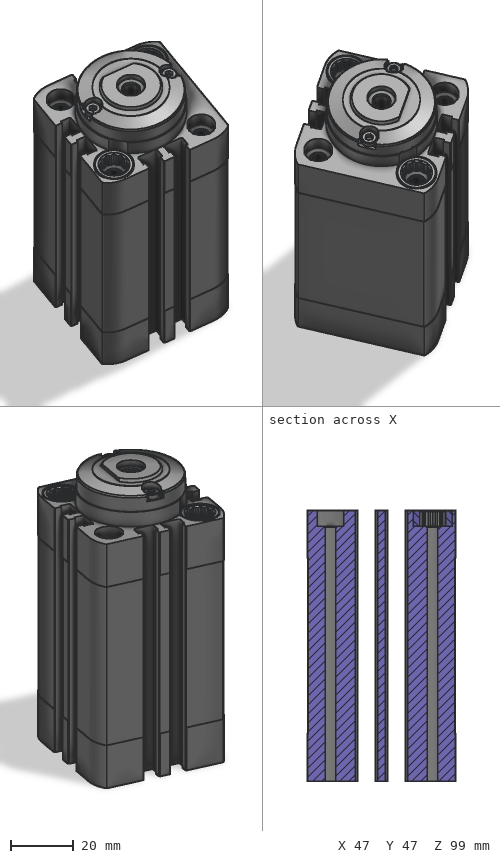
import cadquery as cq
import math

half_width = 47.0 / 2
housing_height = 86.1
end_length = 15.1
middle_setback = 0.1

corner_arc_height = 7.2
corner_arc_inset = 2.3
corner_chamfer = 0.4

slot_offset = 4.8
slot_mouth_width = 5.4
slot_inner_width = 6.9
slot_floor = 17.6
slot_lip = 2.5
slot_corner_radius = 0.5
slot_mouth_chamfer = 0.3
slot_side_angles = (90, 180, 270)

hole_offset = 16.2
through_diameter = 4.95
hole_rim_diameter = 5.7
recess_diameter = 9.0
recess_depth = 5.0
plain_corners = [(hole_offset, hole_offset), (-hole_offset, -hole_offset)]
sleeve_corners = [(-hole_offset, hole_offset), (hole_offset, -hole_offset)]

collar_diameter = 35.3
collar_top = 91.3
cap_diameter = 34.6
cap_side_top = 96.1
cap_edge_radius = 16.9
cap_edge_z = 96.7
cap_flat_radius = 12.3
cap_step = 0.2
cap_top = 98.0

rod_diameter = 20.0
rod_top = 99.0
rod_bevel = 0.6
rod_flat = 7.5
rod_recess_depth = 2.1
rod_thread_diameter = 6.0
rod_core_diameter = 5.1
rod_hole_depth = 14.85
drill_tip_angle = 118

sleeve_diameter = 12.8
sleeve_chamfer = 0.4
sleeve_bore = 8.6
sleeve_mouth = 10.0
sleeve_mouth_depth = 0.5
sleeve_socket_flats = 8.1

screw_offset = 14.2
screw_head_diameter = 4.95
screw_head_chamfer = 0.2
screw_seat = 94.4
screw_top = 96.2
screw_socket_flats = 2.3
screw_socket_depth = 1.5
screw_recess_diameter = 6.1
screw_places = [(0, screw_offset), (0, -screw_offset)]
notch_width = 5.9
notch_start = 16.2


def cylinder(diameter, bottom, top, places=((0, 0),)):
    """Upright cylinders, one at each place."""
    base = cq.Workplane("XY").workplane(offset=bottom)
    return base.pushPoints(places).circle(diameter / 2).extrude(top - bottom)


def countersink(top_diameter, bottom_diameter, depth, top, place=(0, 0)):
    """Cone that narrows downward from the height `top`."""
    cone = cq.Solid.makeCone(bottom_diameter / 2, top_diameter / 2, depth)
    return cq.Workplane(cone).translate((*place, top - depth))


def hexagon(flats, bottom, top, turn):
    """Upright hexagonal prism, measured across its flats and turned about Z."""
    corners = flats / math.cos(math.pi / 6)
    prism = cq.Workplane("XY").workplane(offset=bottom).polygon(6, corners).extrude(top - bottom)
    return prism.rotate((0, 0, 0), (0, 0, 1), turn)


def block(setback, bottom, top):
    """Section of the housing block, with all sides moved inward by the setback."""
    side = half_width - setback
    arc_end = (side - corner_arc_inset, side - corner_chamfer)
    arc_start_y = side - corner_arc_height
    rise = arc_end[1] - arc_start_y
    radius = (rise**2 + corner_arc_inset**2) / (2 * corner_arc_inset)
    half_angle = math.asin(rise / radius) / 2
    arc_middle = (
        side - radius + radius * math.cos(half_angle),
        arc_start_y + radius * math.sin(half_angle),
    )
    quarter = (
        cq.Workplane("XY")
        .workplane(offset=bottom)
        .lineTo(side, 0)
        .lineTo(side, arc_start_y)
        .threePointArc(arc_middle, arc_end)
        .lineTo(arc_end[0] - corner_chamfer, side)
        .lineTo(0, side)
        .close()
        .extrude(top - bottom)
    )
    half = quarter.union(quarter.mirror("YZ"))
    return half.union(half.mirror("XZ"))


def t_slot(offset, side_angle):
    """T-slot cutter, made for the +Y side and turned to its own side."""
    lip_start = half_width - slot_lip
    chamfer_start = half_width - slot_mouth_chamfer
    half_mouth = slot_mouth_width / 2
    inner = (
        cq.Workplane("XY")
        .box(slot_inner_width, lip_start - slot_floor, housing_height, centered=(True, False, False))
        .translate((0, slot_floor, 0))
        .edges("|Z and <Y")
        .fillet(slot_corner_radius)
    )
    mouth = (
        cq.Workplane("XY")
        .polyline([
            (-half_mouth, lip_start),
            (half_mouth, lip_start),
            (half_mouth, chamfer_start),
            (half_mouth + slot_mouth_chamfer, half_width),
            (-half_mouth - slot_mouth_chamfer, half_width),
            (-half_mouth, chamfer_start),
        ])
        .close()
        .extrude(housing_height)
    )
    return inner.union(mouth).translate((offset, 0, 0)).rotate((0, 0, 0), (0, 0, 1), side_angle)


def slotted_block():
    middle_top = housing_height - end_length
    body = block(0, 0, end_length)
    body = body.union(block(middle_setback, end_length, middle_top))
    body = body.union(block(0, middle_top, housing_height))
    for side_angle in slot_side_angles:
        for offset in (-slot_offset, slot_offset):
            body = body.cut(t_slot(offset, side_angle))
    return body


def cap():
    """Cap with a conical top around a slightly raised flat, and two open recesses for the screws."""
    body = (
        cq.Workplane("XZ")
        .moveTo(0, collar_top)
        .lineTo(cap_diameter / 2, collar_top)
        .lineTo(cap_diameter / 2, cap_side_top)
        .lineTo(cap_edge_radius, cap_edge_z)
        .lineTo(cap_flat_radius, cap_top - cap_step)
        .lineTo(cap_flat_radius, cap_top)
        .lineTo(0, cap_top)
        .close()
        .revolve(360, (0, 0), (0, 1))
    )
    notch = (
        cq.Workplane("XY")
        .box(notch_width, cap_diameter / 2, cap_top - screw_seat, centered=(True, False, False))
        .translate((0, notch_start, screw_seat))
    )
    body = body.cut(cylinder(screw_recess_diameter, screw_seat, cap_top, screw_places))
    return body.cut(notch).cut(notch.mirror("XZ"))


def rod_end():
    """Bevelled rod end with a flat on its -X side."""
    height = rod_top - cap_top
    cone = cq.Solid.makeCone(rod_diameter / 2, rod_diameter / 2 - rod_bevel, height)
    beyond_flat = (
        cq.Workplane("XY")
        .box(rod_diameter, rod_diameter, height, centered=(True, True, False))
        .translate((-rod_flat - rod_diameter / 2, 0, 0))
    )
    return cq.Workplane(cone).cut(beyond_flat).translate((0, 0, cap_top))


def rod_hole():
    """Recess, countersink and drilled hole with a conical tip."""
    recess_floor = rod_top - rod_recess_depth
    thread_chamfer = (rod_thread_diameter - rod_core_diameter) / 2
    drill_end = rod_top - rod_hole_depth
    core_radius = rod_core_diameter / 2
    tip_depth = core_radius / math.tan(math.radians(drill_tip_angle / 2))
    return (
        cq.Workplane("XZ")
        .moveTo(0, rod_top)
        .lineTo(recess_diameter / 2, rod_top)
        .lineTo(recess_diameter / 2, recess_floor)
        .lineTo(rod_thread_diameter / 2, recess_floor)
        .lineTo(core_radius, recess_floor - thread_chamfer)
        .lineTo(core_radius, drill_end)
        .lineTo(0, drill_end - tip_depth)
        .close()
        .revolve(360, (0, 0), (0, 1))
    )


def drill_corners(body):
    """Through holes with recesses; the sleeve recesses also cut into the collar."""
    corners = plain_corners + sleeve_corners
    recess_floor = housing_height - recess_depth
    rim_depth = (hole_rim_diameter - through_diameter) / 2
    body = body.cut(cylinder(through_diameter, 0, housing_height, corners))
    body = body.cut(cylinder(recess_diameter, recess_floor, housing_height, plain_corners))
    body = body.cut(cylinder(sleeve_diameter, recess_floor, collar_top, sleeve_corners))
    for corner in corners:
        body = body.cut(countersink(hole_rim_diameter, through_diameter, rim_depth, recess_floor, corner))
    return body


def make_housing():
    body = slotted_block().union(cylinder(collar_diameter, housing_height, collar_top))
    body = drill_corners(body)
    return body.union(cap()).union(rod_end()).cut(rod_hole())


def make_sleeve(place):
    """Sleeve whose bore is cut by two crossed hexagons into a twelve-point socket."""
    bottom = housing_height - recess_depth
    body = cylinder(sleeve_diameter, bottom, housing_height).faces(">Z").edges().chamfer(sleeve_chamfer)
    body = body.cut(cylinder(sleeve_bore, bottom, housing_height))
    body = body.cut(countersink(sleeve_mouth, sleeve_bore, sleeve_mouth_depth, housing_height))
    for turn in (0, 30):
        body = body.cut(hexagon(sleeve_socket_flats, bottom, housing_height, turn))
    return body.translate((*place, 0))


def make_cap_screw(place):
    """Chamfered screw head on its seat, with two socket corners pointing along Y."""
    body = cylinder(screw_head_diameter, screw_seat, screw_top)
    body = body.faces(">Z").edges().chamfer(screw_head_chamfer)
    body = body.cut(hexagon(screw_socket_flats, screw_top - screw_socket_depth, screw_top, 90))
    return body.translate((*place, 0))


housing = make_housing().solids().val()
sleeves = [make_sleeve(place).solids().val() for place in sleeve_corners]
cap_screws = [make_cap_screw(place).solids().val() for place in screw_places]

result = cq.Compound.makeCompound([housing, *sleeves, *cap_screws])